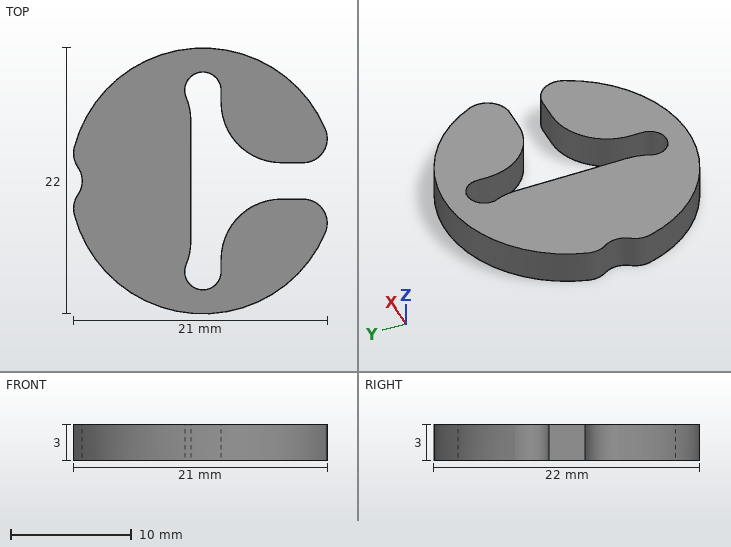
import cadquery as cq
import math

disc_radius = 11.0
thickness = 3.0
slot_end_radius = 1.5
slot_end_y = 7.5
slot_wall_x = -1.0
slot_blend_radius = 5.0
mouth_half_width = 1.5
throat_radius = 5.0
tip_radius = 2.0
notch_radius = 2.0
notch_center_x = -12.0
notch_blend_radius = 2.0


def leg(hypotenuse, side):
    """Remaining side of a right triangle."""
    return math.sqrt(hypotenuse**2 - side**2)


def toward(center, target, distance):
    """Point at the given distance from center, in the direction of target."""
    angle = math.atan2(target[1] - center[1], target[0] - center[0])
    return (center[0] + distance * math.cos(angle), center[1] + distance * math.sin(angle))


def arc_middle(center, radius, start, end):
    """Middle of the shorter arc between two points on a circle."""
    chord_middle = ((start[0] + end[0]) / 2, (start[1] + end[1]) / 2)
    return toward(center, chord_middle, radius)


origin = (0.0, 0.0)

notch_center = (notch_center_x, 0.0)
notch_bottom = (notch_center_x + notch_radius, 0.0)
blend_center_distance = disc_radius - notch_blend_radius
notch_to_blend = notch_radius + notch_blend_radius
notch_blend_x = (blend_center_distance**2 - notch_to_blend**2 + notch_center_x**2) / (2 * notch_center_x)
notch_blend_center = (notch_blend_x, leg(blend_center_distance, notch_blend_x))
notch_end = toward(notch_center, notch_blend_center, notch_radius)
rim_start = toward(origin, notch_blend_center, disc_radius)

tip_center_y = mouth_half_width + tip_radius
tip_center = (leg(disc_radius - tip_radius, tip_center_y), tip_center_y)
rim_end = toward(origin, tip_center, disc_radius)
tip_end = (tip_center[0], mouth_half_width)

throat_center = (slot_end_radius + throat_radius, mouth_half_width + throat_radius)
throat_start = (throat_center[0], mouth_half_width)
throat_end = (slot_end_radius, throat_center[1])

slot_end_center = (0.0, slot_end_y)
slot_blend_x = slot_wall_x - slot_blend_radius
slot_blend_drop = leg(slot_end_radius + slot_blend_radius, slot_blend_x)
slot_blend_center = (slot_blend_x, slot_end_y - slot_blend_drop)
slot_end_start = (slot_end_radius, slot_end_y)
slot_end_top = (0.0, slot_end_y + slot_end_radius)
slot_end_finish = toward(slot_end_center, slot_blend_center, slot_end_radius)
wall_top = (slot_wall_x, slot_blend_center[1])

half = (
    cq.Workplane("XY")
    .moveTo(*notch_bottom)
    .threePointArc(arc_middle(notch_center, notch_radius, notch_bottom, notch_end), notch_end)
    .threePointArc(
        arc_middle(notch_blend_center, notch_blend_radius, notch_end, rim_start), rim_start
    )
    .threePointArc((0.0, disc_radius), rim_end)
    .threePointArc(arc_middle(tip_center, tip_radius, rim_end, tip_end), tip_end)
    .lineTo(*throat_start)
    .threePointArc(arc_middle(throat_center, throat_radius, throat_start, throat_end), throat_end)
    .lineTo(*slot_end_start)
    .threePointArc(slot_end_top, slot_end_finish)
    .threePointArc(
        arc_middle(slot_blend_center, slot_blend_radius, slot_end_finish, wall_top), wall_top
    )
    .lineTo(slot_wall_x, 0.0)
    .close()
    .extrude(thickness)
)

result = half.union(half.mirror("XZ")).clean()